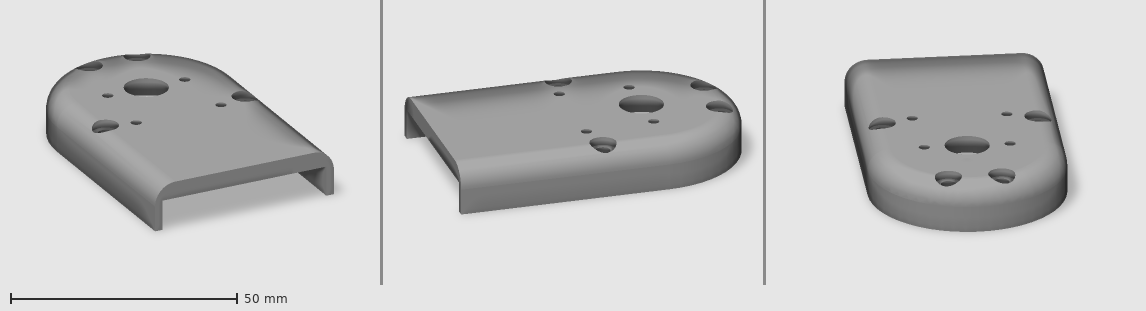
import cadquery as cq
import math

overall_length_x = 75.0
height = 11.0
outer_radius = 22.1
edge_round = 5.0
wall = 1.9
roof = 4.0
tilt = -24.2

center_bore = 10.0
small_hole = 2.5
screw_hole = 3.4
counterbore = 6.0
counterbore_depth = 1.9

small_hole_points = [(3.9, 8.7), (18.7, 3.15), (-3.9, -8.7), (10.1, -16.05)]
screw_points = [(-12.4, 12.0), (-17.2, 1.2), (19.9, 10.1), (5.8, -21.45)]

tilt_angle = math.radians(tilt)
corner_reach = outer_radius * math.sin(-tilt_angle)
straight_length = (overall_length_x - outer_radius - corner_reach) / math.cos(tilt_angle)


def round_ended_plate(radius, length, thickness):
    """Plate with a half-round end about the origin and a square end at +X."""
    return (
        cq.Workplane("XY")
        .moveTo(length, -radius)
        .lineTo(0, -radius)
        .threePointArc((-radius, 0), (0, radius))
        .lineTo(length, radius)
        .close()
        .extrude(thickness)
    )


def cylinders(points, diameter, bottom, top):
    """Vertical cutters at each point."""
    return (
        cq.Workplane("XY", origin=(0, 0, bottom))
        .pushPoints(points)
        .circle(diameter / 2)
        .extrude(top - bottom)
    )


cover = round_ended_plate(outer_radius, straight_length, height)
cover = cover.faces(">Z").edges("not >X").fillet(edge_round)
cover = cover.cut(round_ended_plate(outer_radius - wall, straight_length, height - roof))
cover = cover.rotate((0, 0, 0), (0, 0, 1), tilt)

cover = cover.cut(cylinders([(0, 0)], center_bore, 0, height))
cover = cover.cut(cylinders(small_hole_points, small_hole, 0, height))

cover = cover.cut(cylinders(screw_points, screw_hole, 0, height))
cover = cover.cut(cylinders(screw_points, counterbore, height - counterbore_depth, height))

result = cover